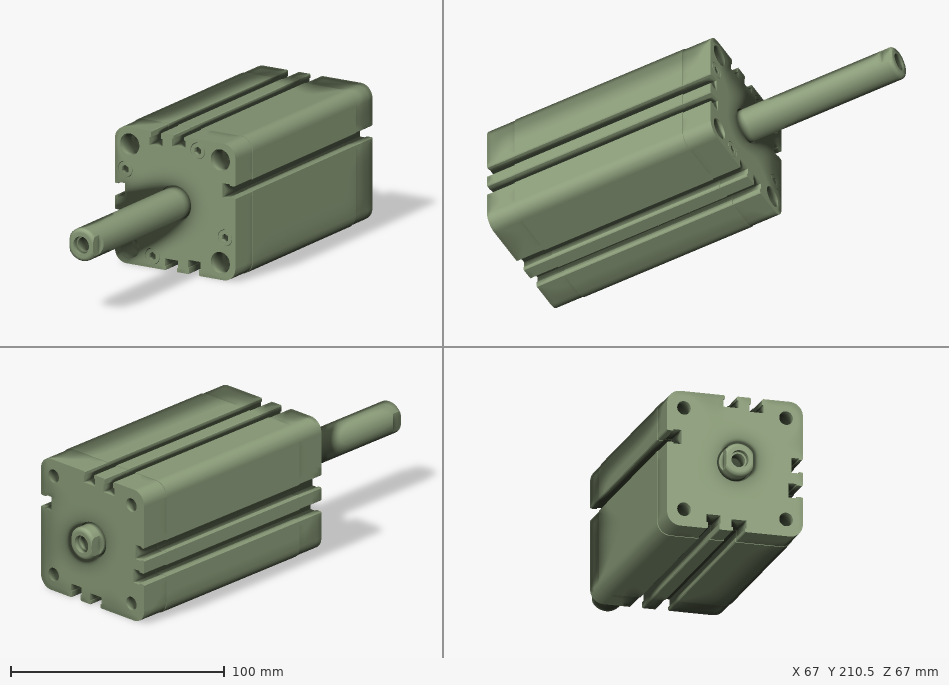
import cadquery as cq
import math

side = 67.0
corner_radius = 6.5
front_cap_length = 15.0
rear_cap_length = 15.0
tube_length = 90.5
body_length = front_cap_length + tube_length + rear_cap_length
cap_inset = 0.25

rod_diameter = 16.0
rod_front_length = 82.5
rod_rear_length = 7.5
rod_end_radius = 2.0
rod_total_length = rod_front_length + body_length + rod_rear_length
rod_flat_width = 13.0
rod_flat_length = 5.5
rod_thread_bore = 6.65
rod_thread_mouth = 8.57
rod_thread_mouth_depth = 2.5
rod_thread_depth = 16.0
drill_point_angle = 118.0

rod_clearance_diameter = 17.6
rod_clearance_depth = 2.0

mounting_pitch = 50.0
mounting_hole_diameter = 6.65
mounting_counterbore_diameter = 10.5
mounting_counterbore_depth = 10.0

quarter_turns = (0, 90, 180, 270)

screw_seat_diameter = 8.0
screw_head_diameter = 7.5
screw_seat_depth = 5.0
screw_socket_width = 3.5
screw_socket_depth = 3.0
screw_across = 12.5
screw_out = 27.55

cap_slot_clearance = 0.2
slot_mouth_chamfer = 0.4
deep_slot = {"offset": -10.5, "neck": 5.2, "chamber": 6.6, "lip": 3.3, "floor": 7.0}
shallow_slot = {"offset": 2.0, "neck": 5.6, "chamber": 6.9, "lip": 2.1, "floor": 5.7}
deep_slot_turns = quarter_turns
shallow_slot_turns = quarter_turns[:3]

body_front = 0.0
body_rear = body_front + body_length
rod_front = body_front - rod_front_length
rod_rear = body_rear + rod_rear_length


def sketch_at(y):
    """Sketch plane facing -Y at the given Y, with sketch axes along X and Z."""
    return cq.Workplane("XZ", origin=(0, y, 0))


def bar_along_y(sketch, length):
    """Extrude a sketch towards +Y."""
    return sketch.extrude(-length)


def housing_block(start, length, inset):
    width = side - 2 * inset
    block = bar_along_y(sketch_at(start).rect(width, width), length)
    return block.edges("|Y").fillet(corner_radius)


def slot_cutter(slot, turn, start, length, inset, clearance):
    """T-shaped slot with a chamfered mouth at the top, turned about Y to the wanted side."""
    top = side / 2 - inset
    lip_z = side / 2 - slot["lip"]
    floor_z = side / 2 - slot["floor"] - clearance
    neck_half = slot["neck"] / 2 + clearance
    chamber_half = slot["chamber"] / 2 + clearance
    mouth_half = neck_half + slot_mouth_chamfer
    right_half = [
        (mouth_half, top),
        (neck_half, top - slot_mouth_chamfer),
        (neck_half, lip_z),
        (chamber_half, lip_z),
        (chamber_half, floor_z),
    ]
    left_half = [(-x, z) for x, z in reversed(right_half)]
    profile = sketch_at(start).center(slot["offset"], 0).polyline(right_half + left_half).close()
    return bar_along_y(profile, length).rotate((0, 0, 0), (0, -1, 0), turn)


def cylinder_y(diameter, start, length):
    return bar_along_y(sketch_at(start).circle(diameter / 2), length)


def threaded_bore(end, inward):
    """Turned bore with a wider mouth and a drill point; inward is +1 or -1 along Y."""
    bore_radius = rod_thread_bore / 2
    mouth_radius = rod_thread_mouth / 2
    point_depth = bore_radius / math.tan(math.radians(drill_point_angle / 2))
    profile = (
        cq.Workplane("XY")
        .moveTo(0, end)
        .lineTo(mouth_radius, end)
        .lineTo(mouth_radius, end + inward * rod_thread_mouth_depth)
        .lineTo(bore_radius, end + inward * rod_thread_mouth_depth)
        .lineTo(bore_radius, end + inward * rod_thread_depth)
        .lineTo(0, end + inward * (rod_thread_depth + point_depth))
        .close()
    )
    return profile.revolve(360, (0, 0, 0), (0, 1, 0))


def flat_cutter(end, inward, side_sign):
    """Wrench flat at one rod end, running out at 45 degrees to the rod surface."""
    flat_x = side_sign * rod_flat_width / 2
    outer_x = side_sign * rod_diameter / 2
    run_out = rod_flat_length + (rod_diameter - rod_flat_width) / 2
    profile = cq.Workplane("XY").polyline(
        [
            (flat_x, end),
            (flat_x, end + inward * rod_flat_length),
            (outer_x, end + inward * run_out),
            (outer_x, end),
        ]
    )
    return profile.close().extrude(rod_diameter / 2, both=True)


def make_rod():
    rod = cylinder_y(rod_diameter, rod_front, rod_total_length)
    rod = rod.edges("%CIRCLE").fillet(rod_end_radius)
    for end, inward in ((rod_front, 1), (rod_rear, -1)):
        rod = rod.cut(threaded_bore(end, inward))
        for side_sign in (-1, 1):
            rod = rod.cut(flat_cutter(end, inward, side_sign))
    return rod


def screw_cutter(turn):
    """Ring gap around one screw head together with its hexagon socket."""
    angle = math.radians(turn)
    x = screw_across * math.cos(angle) - screw_out * math.sin(angle)
    z = screw_across * math.sin(angle) + screw_out * math.cos(angle)
    gap = cylinder_y(screw_seat_diameter, body_front, screw_seat_depth)
    gap = gap.cut(cylinder_y(screw_head_diameter, body_front, screw_seat_depth))
    socket = sketch_at(body_front).polygon(6, screw_socket_width / math.cos(math.pi / 6))
    socket = bar_along_y(socket, screw_socket_depth).rotate((0, 0, 0), (0, 1, 0), 90)
    return gap.union(socket).translate((x, 0, z))


def housing_section(start, length, inset, slot_clearance):
    """One slotted length of the housing."""
    section = housing_block(start, length, inset)
    for slot, turns in ((deep_slot, deep_slot_turns), (shallow_slot, shallow_slot_turns)):
        for turn in turns:
            section = section.cut(slot_cutter(slot, turn, start, length, inset, slot_clearance))
    return section


def make_housing():
    """Front cap, tube and rear cap joined in a row."""
    tube_start = body_front + front_cap_length
    rear_cap_start = tube_start + tube_length
    housing = housing_section(body_front, front_cap_length, cap_inset, cap_slot_clearance)
    housing = housing.union(housing_section(tube_start, tube_length, 0, 0), clean=False)
    rear_cap = housing_section(rear_cap_start, rear_cap_length, cap_inset, cap_slot_clearance)
    return housing.union(rear_cap, clean=False)


def drill_mounting_holes(housing):
    """Through hole with a front counterbore at each corner."""
    hole = cylinder_y(mounting_hole_diameter, body_front, body_length)
    hole = hole.union(cylinder_y(mounting_counterbore_diameter, body_front, mounting_counterbore_depth))
    half_pitch = mounting_pitch / 2
    for x in (-half_pitch, half_pitch):
        for z in (-half_pitch, half_pitch):
            housing = housing.cut(hole.translate((x, 0, z)), clean=False)
    return housing


def add_cap_screws(housing):
    for turn in quarter_turns:
        housing = housing.cut(screw_cutter(turn), clean=False)
    return housing


def cut_rod_clearance(housing):
    """Ring-shaped recess around the rod at both housing ends, bored before the rod is added."""
    for start in (body_front, body_rear - rod_clearance_depth):
        housing = housing.cut(cylinder_y(rod_clearance_diameter, start, rod_clearance_depth), clean=False)
    return housing


housing = make_housing()
housing = drill_mounting_holes(housing)
housing = add_cap_screws(housing)
housing = cut_rod_clearance(housing)
result = housing.union(make_rod(), clean=False)